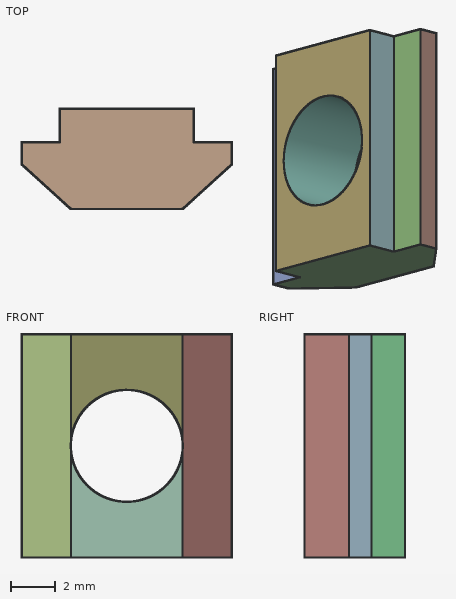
import cadquery as cq

length = 10.0
flange_width = 9.4
neck_width = 6.0
face_width = 5.0
bore_diameter = 5.0

flank_height = 2.0
flange_height = 1.0
neck_height = 1.5

flange_start = flank_height
flange_end = flange_start + flange_height
total_height = flange_end + neck_height


def nut_body():
    """Section drawn in XY, symmetric about X = 0, extruded along Z."""
    right_side = [
        (face_width / 2, 0),
        (flange_width / 2, flange_start),
        (flange_width / 2, flange_end),
        (neck_width / 2, flange_end),
        (neck_width / 2, total_height),
    ]
    left_side = [(-x, y) for x, y in reversed(right_side)]
    return cq.Workplane("XY").polyline(right_side + left_side).close().extrude(length)


def bore():
    """Through bore along Y, centred on the nut."""
    return (
        cq.Workplane("XZ")
        .center(0, length / 2)
        .circle(bore_diameter / 2)
        .extrude(-total_height)
    )


result = nut_body().cut(bore())